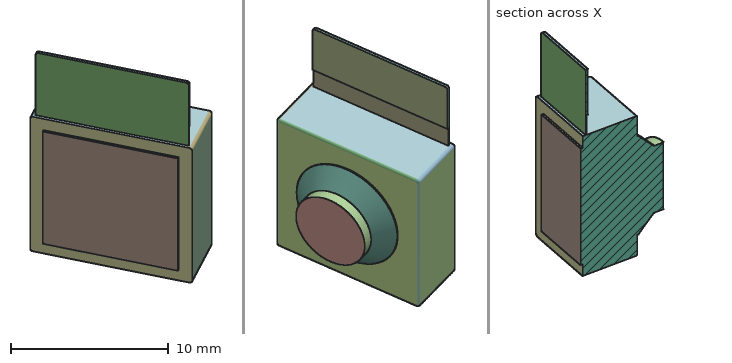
import cadquery as cq

housing_side = 10.8
housing_depth = 4.16
corner_radius = 0.2
rear_edge_radius = 0.16

panel_side = 9.0
panel_thickness = 0.16

lens_length = 1.98
base_length = 0.08
base_diameter = 7.63
barrel_diameter = 5.2
barrel_length = 0.73

total_height = 15.82
tab_width = 10.22
tab_setback = 0.2
tab_thickness = 0.11
stiffener_thickness = 0.2
stiffener_height = 3.51
tab_corner_radius = 0.2

center_z = housing_side / 2


def make_housing():
    """Block with rounded corners along its depth and a rounded rear rim."""
    block = cq.Workplane("XY").box(
        housing_side, housing_depth, housing_side, centered=(True, False, False)
    )
    rounded_block = block.edges("|Y").fillet(corner_radius)
    return rounded_block.faces(">Y").edges().fillet(rear_edge_radius)


def make_panel():
    """Thin square plate centered on the front face."""
    return (
        cq.Workplane("XZ", origin=(0, 0, center_z))
        .rect(panel_side, panel_side)
        .extrude(panel_thickness)
    )


def make_lens():
    """Half profile (radius, distance from rear face) revolved about the lens axis."""
    cone_end = lens_length - barrel_length
    profile = [
        (0, 0),
        (base_diameter / 2, 0),
        (base_diameter / 2, base_length),
        (barrel_diameter / 2, cone_end),
        (barrel_diameter / 2, lens_length),
        (0, lens_length),
    ]
    return (
        cq.Workplane("XY", origin=(0, housing_depth, center_z))
        .polyline(profile)
        .close()
        .revolve(360, (0, 0), (0, 1))
    )


def make_tab():
    """Thin strip, thickened rearward near its top, with rounded top corners."""
    rear_of_strip = tab_setback + tab_thickness
    rear_of_stiffener = tab_setback + stiffener_thickness
    step_z = total_height - stiffener_height
    side_profile = [
        (tab_setback, housing_side),
        (rear_of_strip, housing_side),
        (rear_of_strip, step_z),
        (rear_of_stiffener, step_z),
        (rear_of_stiffener, total_height),
        (tab_setback, total_height),
    ]
    tab = (
        cq.Workplane("YZ")
        .polyline(side_profile)
        .close()
        .extrude(tab_width / 2, both=True)
    )
    top_corners = cq.selectors.BoxSelector(
        (-tab_width, 0, total_height - tab_corner_radius),
        (tab_width, housing_depth, total_height + tab_corner_radius),
    )
    return tab.edges("|Y").edges(top_corners).fillet(tab_corner_radius)


result = make_housing().union(make_panel()).union(make_lens()).union(make_tab())